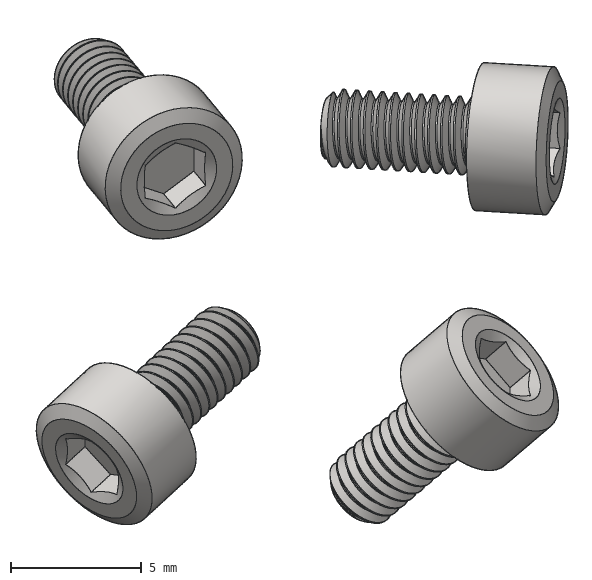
import cadquery as cq
import math


head_diameter = 5.68
head_length = 3.0
head_chamfer_length = 0.3
head_chamfer_angle = 60.0

socket_across_flats = 2.5
socket_depth = 1.3
lead_in_diameter = 3.3
lead_in_half_angle = 60.0

thread_diameter = 3.0
shank_length = 6.0
tip_diameter = 2.27
neck_fillet_radius = 0.3

pitch = 0.5
flank_half_angle = 30.0
crest_width = pitch / 8
root_width = pitch / 8
first_root_offset = 0.154
groove_turns = 12.5
groove_overcut = 0.03

head_radius = head_diameter / 2
thread_radius = thread_diameter / 2
lead_in_radius = lead_in_diameter / 2
tip_radius = tip_diameter / 2
flank_slope = math.tan(math.radians(flank_half_angle))
thread_depth = (pitch - crest_width - root_width) / 2 / flank_slope
root_radius = thread_radius - thread_depth


def make_shank():
    """Plain shank with a 45 degree chamfer at the tip, ending inside the neck fillet."""
    tip_chamfer = thread_radius - tip_radius
    return (
        cq.Workplane("XZ")
        .moveTo(-shank_length, 0)
        .lineTo(-shank_length, tip_radius)
        .lineTo(-shank_length + tip_chamfer, thread_radius)
        .lineTo(0, thread_radius)
        .lineTo(0, 0)
        .close()
        .revolve(360, (0, 0, 0), (1, 0, 0))
    )


def make_groove():
    """Right-hand helical V-groove, built along Z and then turned onto the X axis."""
    start = first_root_offset - shank_length - pitch
    outer_radius = thread_radius + groove_overcut
    root_half_width = root_width / 2
    outer_half_width = root_half_width + (outer_radius - root_radius) * flank_slope
    helix = cq.Wire.makeHelix(pitch, groove_turns * pitch, root_radius)
    groove = (
        cq.Workplane("XZ")
        .moveTo(root_radius, -root_half_width)
        .lineTo(root_radius, root_half_width)
        .lineTo(outer_radius, outer_half_width)
        .lineTo(outer_radius, -outer_half_width)
        .close()
        .sweep(cq.Workplane(obj=helix), isFrenet=True)
    )
    return groove.rotate((0, 0, 0), (0, 1, 0), 90).translate((start, 0, 0))


def make_head():
    """Chamfered cylindrical head with the concave fillet that joins it to the shank."""
    chamfer_depth = head_chamfer_length * math.tan(math.radians(head_chamfer_angle))
    fillet_outer_radius = thread_radius + neck_fillet_radius
    arc_offset = neck_fillet_radius * (1 - math.sqrt(0.5))
    return (
        cq.Workplane("XZ")
        .moveTo(-neck_fillet_radius, 0)
        .lineTo(-neck_fillet_radius, thread_radius)
        .threePointArc((-arc_offset, thread_radius + arc_offset), (0, fillet_outer_radius))
        .lineTo(0, head_radius)
        .lineTo(head_length - head_chamfer_length, head_radius)
        .lineTo(head_length, head_radius - chamfer_depth)
        .lineTo(head_length, 0)
        .close()
        .revolve(360, (0, 0, 0), (1, 0, 0))
    )


def make_socket():
    """Hexagon socket with a conical lead-in, cut into the end of the head."""
    hexagon = (
        cq.Workplane("YZ", origin=(head_length - socket_depth, 0, 0))
        .polygon(6, socket_across_flats, circumscribed=True)
        .extrude(socket_depth)
    )
    cone_depth = lead_in_radius / math.tan(math.radians(lead_in_half_angle))
    lead_in = (
        cq.Workplane("XZ")
        .moveTo(head_length - cone_depth, 0)
        .lineTo(head_length, lead_in_radius)
        .lineTo(head_length, 0)
        .close()
        .revolve(360, (0, 0, 0), (1, 0, 0))
    )
    return hexagon.union(lead_in)


result = make_shank().cut(make_groove()).union(make_head()).cut(make_socket())